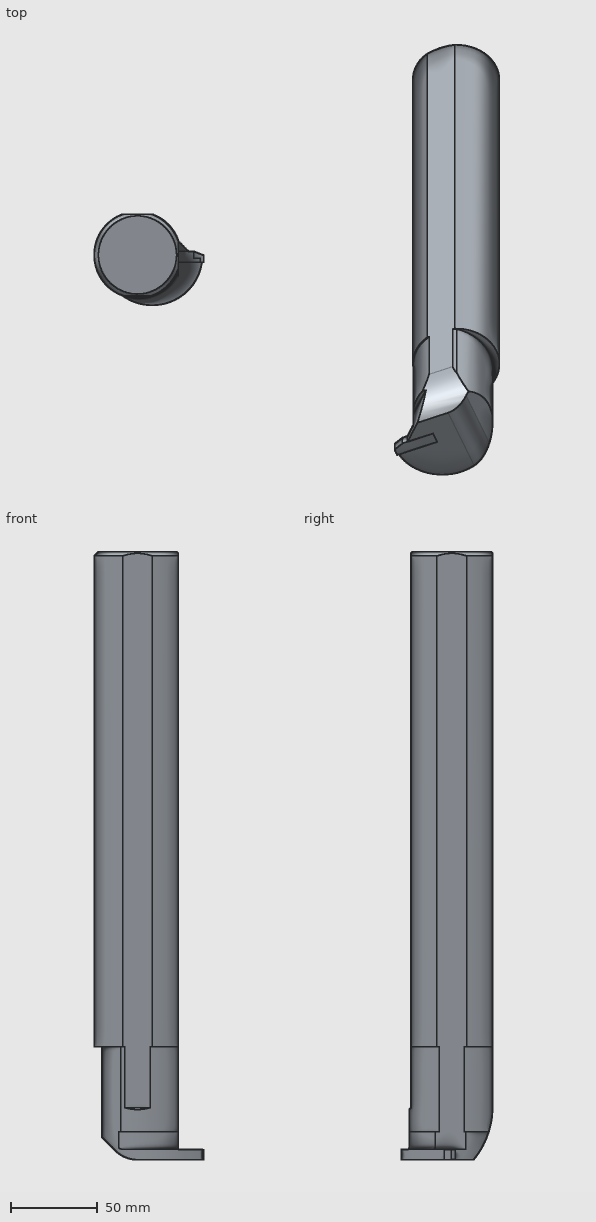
import cadquery as cq
import math

shank_radius = 25.0
shank_length = 285.0
shank_chamfer = 2.5
flat_distance = 23.5

tool_length = 350.0
neck_radius = 24.6
clearance_radius = 29.0
clearance_center_x = 8.5
foot_thickness = 6.0
foot_top = foot_thickness - tool_length
front_flat_end = -320.0
flat_runout = neck_radius - flat_distance
band_height = 10.3
band_center_x = 0.8
root_fillet = 1.0

heel_start_height = 13.0
heel_radius = 18.0

relief_top = -322.0
relief_middle = (18.9, -340.0)
relief_bottom_y = 12.5

gullet_sum = 31.4

insert_left = 13.4
insert_tip_x = 38.25
insert_seat_y = -4.3
insert_back_y = 2.1
insert_shoulder_x = 32.4
insert_rake_y = -0.2
insert_projection = 0.02
insert_bottom = -tool_length - insert_projection
insert_hollow = 0.3
tip_land_x = 36.0
tip_land_y = -1.8
tip_drop = 0.2

reach = 100.0


def cylinder_between(radius, bottom, top, center_x=0.0):
    return (
        cq.Workplane("XY", origin=(center_x, 0, bottom))
        .circle(radius)
        .extrude(top - bottom)
    )


def block_between(low, high):
    size = [b - a for a, b in zip(low, high)]
    return cq.Workplane("XY").box(*size, centered=False).translate(low)


def make_shank():
    return cylinder_between(shank_radius, -shank_length, 0).faces(">Z").chamfer(shank_chamfer)


def root_groove():
    tube_radius = neck_radius + root_fillet
    ring = cq.Solid.makeTorus(
        tube_radius, root_fillet, cq.Vector(band_center_x, 0, foot_top + root_fillet)
    )
    return cq.Workplane(obj=ring)


def make_neck_and_foot():
    band_top = foot_top + band_height
    neck = cylinder_between(neck_radius, band_top, -shank_length)
    band = cylinder_between(neck_radius, foot_top, band_top, band_center_x)
    outline = cylinder_between(clearance_radius, -tool_length, -shank_length, clearance_center_x)
    foot = cylinder_between(clearance_radius, -tool_length, foot_top, clearance_center_x)
    stem = neck.union(band).intersect(outline)
    root = cylinder_between(
        neck_radius + root_fillet, foot_top, foot_top + root_fillet, band_center_x
    ).cut(root_groove())
    return stem.union(root.intersect(outline)).union(foot)


def cut_flats(body):
    back = block_between((-reach, flat_distance, -tool_length), (reach, reach, 0))
    side = block_between((flat_distance, -reach, foot_top), (reach, reach, 0))
    front = (
        cq.Workplane("YZ", origin=(-reach, 0, 0))
        .moveTo(-flat_distance, 0)
        .lineTo(-flat_distance, front_flat_end)
        .lineTo(-flat_distance - flat_runout, front_flat_end - flat_runout)
        .lineTo(-reach, front_flat_end - flat_runout)
        .lineTo(-reach, 0)
        .close()
        .extrude(2 * reach)
    )
    return body.cut(back).cut(side).cut(front)


def cut_heel(body):
    start_x = clearance_center_x - clearance_radius
    start_z = heel_start_height - tool_length
    turn = math.radians(45)
    half = turn / 2
    arc_drop = heel_radius * (1 - math.cos(turn))
    arc_run = heel_radius * math.sin(turn)
    arc_start_x = start_x + heel_start_height - arc_drop
    arc_end_x = arc_start_x + arc_run
    arc_middle = (
        arc_end_x - heel_radius * math.sin(half),
        -tool_length + heel_radius * (1 - math.cos(half)),
    )
    heel = (
        cq.Workplane("XZ", origin=(0, reach, 0))
        .moveTo(start_x, start_z)
        .lineTo(arc_start_x, arc_drop - tool_length)
        .threePointArc(arc_middle, (arc_end_x, -tool_length))
        .lineTo(start_x - heel_start_height, -tool_length)
        .lineTo(start_x - heel_start_height, start_z + heel_start_height)
        .close()
        .extrude(2 * reach)
    )
    return body.cut(heel)


def cut_relief(body):
    relief = (
        cq.Workplane("YZ", origin=(-reach, 0, 0))
        .moveTo(flat_distance, relief_top)
        .threePointArc(relief_middle, (relief_bottom_y, -tool_length))
        .lineTo(reach, -tool_length)
        .lineTo(reach, relief_top)
        .close()
        .extrude(2 * reach)
    )
    return body.cut(relief)


def cut_gullet(body):
    gullet = (
        cq.Workplane("XY", origin=(0, 0, -tool_length))
        .moveTo(gullet_sum - insert_seat_y, insert_seat_y)
        .lineTo(gullet_sum - insert_back_y, insert_back_y)
        .lineTo(gullet_sum - reach, reach)
        .lineTo(reach, reach)
        .lineTo(reach, insert_seat_y)
        .close()
        .extrude(foot_thickness + band_height)
    )
    return body.cut(gullet)


def make_insert_blank():
    return (
        cq.Workplane("XY", origin=(0, 0, insert_bottom))
        .moveTo(insert_left, insert_seat_y)
        .lineTo(insert_tip_x, insert_seat_y)
        .lineTo(insert_tip_x, insert_rake_y)
        .lineTo(insert_shoulder_x, insert_back_y)
        .lineTo(insert_left, insert_back_y)
        .close()
        .extrude(foot_top - insert_bottom)
    )


def make_insert():
    middle_x = (insert_left + insert_tip_x) / 2
    hollow = (
        cq.Workplane("XZ", origin=(0, insert_back_y, 0))
        .moveTo(insert_left, insert_bottom)
        .threePointArc((middle_x, insert_bottom + insert_hollow), (insert_tip_x, insert_bottom))
        .close()
        .extrude(insert_back_y - insert_seat_y)
    )
    tip_step = (
        cq.Workplane("XY", origin=(0, 0, foot_top - tip_drop))
        .moveTo(insert_shoulder_x, insert_back_y)
        .lineTo(insert_shoulder_x, tip_land_y)
        .lineTo(tip_land_x, tip_land_y)
        .lineTo(tip_land_x, insert_seat_y)
        .lineTo(insert_tip_x, insert_seat_y)
        .lineTo(insert_tip_x, insert_back_y)
        .close()
        .extrude(tip_drop)
    )
    return make_insert_blank().cut(hollow).cut(tip_step)


holder = make_shank().union(make_neck_and_foot())
holder = cut_flats(holder)
holder = cut_heel(holder)
holder = cut_relief(holder)
holder = cut_gullet(holder)
holder = holder.cut(make_insert_blank())

insert = make_insert()

result = cq.Compound.makeCompound([holder.val(), insert.val()])